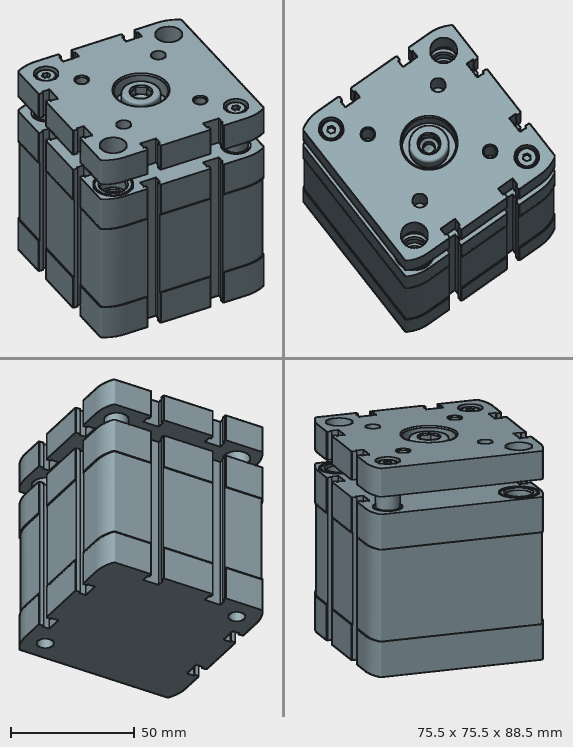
import cadquery as cq
import math

WIDTH = 75.5
HEIGHT = 88.5
PLATE_THICKNESS = 12.0
HOUSING_HEIGHT = 69.0
CAP_HEIGHT = 15.05
BARREL_INSET = 0.4
PLATE_BOTTOM = HEIGHT - PLATE_THICKNESS

CORNER_RADIUS = 17.7
CORNER_LENGTH = 9.6
CORNER_BLEND = 1.0

SLOT_OFFSET = 14.5
SLOT_MOUTH = 5.7
SLOT_WIDTH = 7.3
SLOT_DEPTH = 5.3
SLOT_LIP = 2.1
SLOT_BREAK = 0.35

CORNER_OFFSET = 28.3
TAP_OFFSET = 17.7

ACCESS_DIAMETER = 11.0
PIN_HOLE_DIAMETER = 6.0
TAP_DIAMETER = 5.0
RECESS_DIAMETER = 22.0
RECESS_DEPTH = 7.5
RECESS_CHAMFER = 0.6
GUIDE_BORE_DIAMETER = 10.0
GUIDE_BORE_DEPTH = 4.0

ROD_DIAMETER = 16.0
ROD_FLATS = 13.0
ROD_FLAT_FILLET = 0.8
ROD_TOP_DROP = 1.0
ROD_TOP_FILLET = 1.0
ROD_HEX = 8.0
ROD_HEX_DEPTH = 4.0
ROD_HEX_LEAD_DIAMETER = 9.4
ROD_DRILL_DIAMETER = 5.0
ROD_DRILL_DEPTH = 8.0
DRILL_TIP_ANGLE = 118.0

GUIDE_DIAMETER = 10.0
SCREW_DIAMETER = 8.5
SCREW_DROP = 0.8
SCREW_CHAMFER = 0.4
SCREW_HEX = 3.0
SCREW_HEX_DEPTH = 2.0
SCREW_HEX_TURN = 45.0
GUIDE_BUSH_RIM_DIAMETER = 12.0
GUIDE_BUSH_RIM_DEPTH = 0.2

ROD_BASE = HOUSING_HEIGHT - CAP_HEIGHT

COLLAR_DIAMETER = 16.4
COLLAR_CHAMFER = 0.7
MOUNT_BORE_DIAMETER = 10.6
MOUNT_BORE_LEAD_DIAMETER = 12.0
MOUNT_BORE_DEPTH = 5.3
MOUNT_HOLE_DIAMETER = 7.0
MOUNT_HOLE_LEAD_DIAMETER = 8.1

GUIDE_POINTS = [(-CORNER_OFFSET, -CORNER_OFFSET), (CORNER_OFFSET, CORNER_OFFSET)]
MOUNT_POINTS = [(-CORNER_OFFSET, CORNER_OFFSET), (CORNER_OFFSET, -CORNER_OFFSET)]
TAP_POINTS = [(-TAP_OFFSET, -TAP_OFFSET), (TAP_OFFSET, TAP_OFFSET)]
PIN_HOLE_POINTS = [(-TAP_OFFSET, TAP_OFFSET), (TAP_OFFSET, -TAP_OFFSET)]


def cylinders(points, diameter, bottom, height):
    """Upright cylinders of one size at the given points."""
    return cq.Workplane(origin=(0, 0, bottom)).pushPoints(points).circle(diameter / 2).extrude(height)


def cone(point, bottom_diameter, top_diameter, bottom, height):
    """Upright cone, widening or narrowing from bottom to top."""
    solid = cq.Solid.makeCone(
        bottom_diameter / 2, top_diameter / 2, height, cq.Vector(point[0], point[1], bottom)
    )
    return cq.Workplane(solid)


def lead_in(point, hole_diameter, lead_diameter, top):
    """45 degree countersink that opens a hole up to lead_diameter at the height top."""
    depth = (lead_diameter - hole_diameter) / 2
    return cone(point, hole_diameter, lead_diameter, top - depth, depth)


def hexagon(point, across_flats, bottom, height, turn=0.0):
    """Hexagonal prism with corners along X before it is turned clockwise."""
    across_corners = across_flats / math.cos(math.pi / 6)
    prism = cq.Workplane().polygon(6, across_corners).extrude(height)
    return prism.rotate((0, 0, 0), (0, 0, 1), -turn).translate((point[0], point[1], bottom))


def block(inset, bottom, height):
    """Square block whose X sides curve in towards the Y faces at every corner."""
    half = WIDTH / 2 - inset
    radius = CORNER_RADIUS - inset
    straight = WIDTH / 2 - CORNER_LENGTH
    rise = half - straight
    end_x = half - radius + math.sqrt(radius**2 - rise**2)
    half_angle = math.asin(rise / radius) / 2
    mid_x = half - radius + radius * math.cos(half_angle)
    mid_y = straight + radius * math.sin(half_angle)
    outline = (
        cq.Workplane(origin=(0, 0, bottom))
        .moveTo(half, -straight)
        .lineTo(half, straight)
        .threePointArc((mid_x, mid_y), (end_x, half))
        .lineTo(-end_x, half)
        .threePointArc((-mid_x, mid_y), (-half, straight))
        .lineTo(-half, -straight)
        .threePointArc((-mid_x, -mid_y), (-end_x, -half))
        .lineTo(end_x, -half)
        .threePointArc((mid_x, -mid_y), (half, -straight))
        .close()
    )
    solid = outline.extrude(height)
    sharp_corners = cq.selectors.BoxSelector(
        (-end_x - CORNER_BLEND, -2 * WIDTH, -0.9), (end_x + CORNER_BLEND, 2 * WIDTH, HEIGHT + 0.9)
    )
    return solid.edges("|Z").edges(sharp_corners).fillet(CORNER_BLEND - inset)


def slots():
    """T-shaped slots, two on each of the -Y, +X and -X sides, over the full height."""
    face = -WIDTH / 2
    mouth = SLOT_MOUTH / 2
    half = SLOT_WIDTH / 2
    right_side = [
        (mouth + SLOT_BREAK, face),
        (mouth, face + SLOT_BREAK),
        (mouth, face + SLOT_LIP),
        (half, face + SLOT_LIP),
        (half, face + SLOT_DEPTH),
    ]
    left_side = [(-x, y) for x, y in reversed(right_side)]
    slot = cq.Workplane().polyline(right_side + left_side).close().extrude(HEIGHT)
    pair = slot.translate((-SLOT_OFFSET, 0, 0)).union(slot.translate((SLOT_OFFSET, 0, 0)))
    all_slots = pair
    for angle in (90, -90):
        all_slots = all_slots.union(pair.rotate((0, 0, 0), (0, 0, 1), angle))
    return all_slots


def make_plate():
    """Front plate with its recess, screw counterbores and through holes."""
    plate = block(0, PLATE_BOTTOM, PLATE_THICKNESS).cut(slots())
    plate = plate.cut(cylinders(MOUNT_POINTS, ACCESS_DIAMETER, PLATE_BOTTOM, PLATE_THICKNESS))
    plate = plate.cut(cylinders(PIN_HOLE_POINTS, PIN_HOLE_DIAMETER, PLATE_BOTTOM, PLATE_THICKNESS))
    plate = plate.cut(cylinders(TAP_POINTS, TAP_DIAMETER, PLATE_BOTTOM, PLATE_THICKNESS))
    for point in TAP_POINTS:
        plate = plate.cut(lead_in(point, TAP_DIAMETER, PIN_HOLE_DIAMETER, HEIGHT))
    plate = plate.cut(
        cylinders(GUIDE_POINTS, GUIDE_BORE_DIAMETER, HEIGHT - GUIDE_BORE_DEPTH, GUIDE_BORE_DEPTH)
    )
    plate = plate.cut(cylinders([(0, 0)], ROD_DIAMETER, PLATE_BOTTOM, PLATE_THICKNESS))
    plate = plate.cut(cylinders([(0, 0)], RECESS_DIAMETER, HEIGHT - RECESS_DEPTH, RECESS_DEPTH))
    return plate.cut(lead_in((0, 0), RECESS_DIAMETER, RECESS_DIAMETER + 2 * RECESS_CHAMFER, HEIGHT))


def make_rod():
    """Piston rod with wrench flats below the plate and a hexagon socket in its top."""
    top = HEIGHT - ROD_TOP_DROP
    rod = cylinders([(0, 0)], ROD_DIAMETER, ROD_BASE, top - ROD_BASE)
    rod = rod.faces(">Z").edges().fillet(ROD_TOP_FILLET)

    flat_height = PLATE_BOTTOM - HOUSING_HEIGHT
    cutter_depth = ROD_DIAMETER
    for side in (-1, 1):
        inner_side = "<Y" if side > 0 else ">Y"
        cutter = (
            cq.Workplane()
            .box(ROD_DIAMETER, cutter_depth, flat_height, centered=(True, True, False))
            .faces(inner_side)
            .edges("<Z")
            .fillet(ROD_FLAT_FILLET)
            .translate((0, side * (ROD_FLATS + cutter_depth) / 2, HOUSING_HEIGHT))
        )
        rod = rod.cut(cutter)

    socket_floor = top - ROD_HEX_DEPTH
    rod = rod.cut(hexagon((0, 0), ROD_HEX, socket_floor, ROD_HEX_DEPTH))
    rod = rod.cut(lead_in((0, 0), ROD_HEX, ROD_HEX_LEAD_DIAMETER, top))
    return rod.cut(rod_drilling(socket_floor))


def rod_drilling(socket_floor):
    """Drilled hole below the hexagon socket, with a conical mouth and a conical tip."""
    slope = math.tan(math.radians(DRILL_TIP_ANGLE / 2))
    mouth_radius = ROD_HEX / 2
    radius = ROD_DRILL_DIAMETER / 2
    mouth_bottom = socket_floor - (mouth_radius - radius) / slope
    drill_floor = HEIGHT - ROD_TOP_DROP - ROD_DRILL_DEPTH
    profile = [
        (0, socket_floor),
        (mouth_radius, socket_floor),
        (radius, mouth_bottom),
        (radius, drill_floor),
        (0, drill_floor - radius / slope),
    ]
    return cq.Workplane("XZ").polyline(profile).close().revolve(360, (0, 0, 0), (0, 1, 0))


def make_guide(point):
    """Guide rod with the chamfered socket screw that fastens it to the plate."""
    shoulder = HEIGHT - GUIDE_BORE_DEPTH
    top = HEIGHT - SCREW_DROP
    screw = cylinders([point], SCREW_DIAMETER, shoulder, top - shoulder)
    screw = screw.faces(">Z").edges().chamfer(SCREW_CHAMFER)
    screw = screw.cut(hexagon(point, SCREW_HEX, top - SCREW_HEX_DEPTH, SCREW_HEX_DEPTH, SCREW_HEX_TURN))
    return cylinders([point], GUIDE_DIAMETER, ROD_BASE, shoulder - ROD_BASE).union(screw)


def make_slide():
    """Moving body: plate, piston rod and both guide rods."""
    slide = make_plate().union(make_rod())
    for point in GUIDE_POINTS:
        slide = slide.union(make_guide(point))
    return slide


def mount_cut(point):
    """Stepped through hole of a hollow mounting screw and the groove around its collar."""
    bore_floor = HOUSING_HEIGHT - MOUNT_BORE_DEPTH
    groove_floor = HOUSING_HEIGHT - COLLAR_CHAMFER
    groove = cylinders([point], COLLAR_DIAMETER, groove_floor, COLLAR_CHAMFER).cut(
        cone(point, COLLAR_DIAMETER, COLLAR_DIAMETER - 2 * COLLAR_CHAMFER, groove_floor, COLLAR_CHAMFER)
    )
    hole = cylinders([point], MOUNT_HOLE_DIAMETER, 0, HOUSING_HEIGHT)
    hole = hole.union(lead_in(point, MOUNT_HOLE_DIAMETER, MOUNT_HOLE_LEAD_DIAMETER, bore_floor))
    hole = hole.union(cylinders([point], MOUNT_BORE_DIAMETER, bore_floor, MOUNT_BORE_DEPTH))
    hole = hole.union(lead_in(point, MOUNT_BORE_DIAMETER, MOUNT_BORE_LEAD_DIAMETER, HOUSING_HEIGHT))
    return groove, hole


def make_housing():
    """Cylinder housing: two end caps, a slightly narrower barrel, and the rod bores."""
    barrel_height = HOUSING_HEIGHT - 2 * CAP_HEIGHT
    housing = block(0, 0, CAP_HEIGHT)
    housing = housing.union(block(BARREL_INSET, CAP_HEIGHT, barrel_height))
    housing = housing.union(block(0, HOUSING_HEIGHT - CAP_HEIGHT, CAP_HEIGHT))
    housing = housing.cut(slots())
    housing = housing.cut(cylinders([(0, 0)], ROD_DIAMETER, ROD_BASE, CAP_HEIGHT))
    housing = housing.cut(cylinders(GUIDE_POINTS, GUIDE_DIAMETER, ROD_BASE, CAP_HEIGHT))
    rim_floor = HOUSING_HEIGHT - GUIDE_BUSH_RIM_DEPTH
    housing = housing.cut(
        cylinders(GUIDE_POINTS, GUIDE_BUSH_RIM_DIAMETER, rim_floor, GUIDE_BUSH_RIM_DEPTH)
    )
    for point in MOUNT_POINTS:
        for cutter in mount_cut(point):
            housing = housing.cut(cutter)
    return housing


housing = make_housing()
slide = make_slide()
result = cq.Compound.makeCompound([housing.val(), slide.val()])